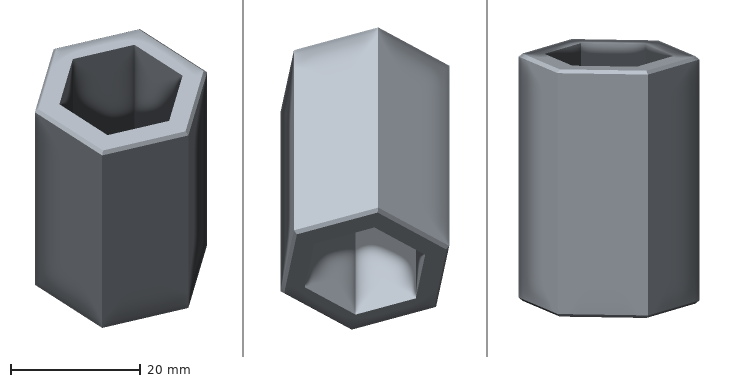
import cadquery as cq

height = 39.0
outer_across_corners = 28.0
bore_across_corners = 20.0
edge_chamfer = 0.5
twist_angle = -0.2

body = (
    cq.Workplane("XY")
    .polygon(6, outer_across_corners)
    .extrude(height)
    .faces("<Z or >Z")
    .chamfer(edge_chamfer)
)

bore = cq.Workplane("XY").polygon(6, bore_across_corners).extrude(height)

result = body.cut(bore).rotate((0, 0, 0), (0, 0, 1), twist_angle)